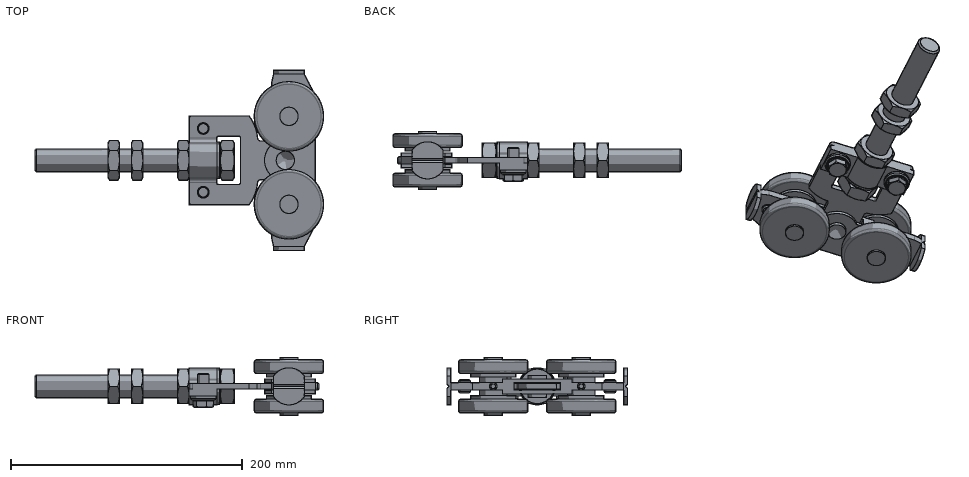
import cadquery as cq
import math


ROD_DIAMETER = 20.0
ROD_CHAMFER = 1.5
NUT_WIDTH = 30.0
NUT_THICKNESS = 10.0
NUT_FACE_DIAMETER = 29.7
HEAD_THICKNESS = 12.0
HEAD_COLLAR_DIAMETER = 27.7
HEAD_COLLAR_THICKNESS = 0.8
HEX_CHAMFER_ANGLE = 30.0
FIRST_NUT_X = 63.1
SECOND_NUT_X = 83.3

BRACKET_X = 133.2
BRACKET_HALF_WIDTH = 38.5
BRACKET_THICKNESS = 5.0
BRACKET_CORNER_RADIUS = 3.0
SHOULDER_X = 185.0
SHOULDER_MIDDLE = (190.0, 29.5)
NECK_X = 192.4
NECK_HALF_WIDTH = 16.8
NECK_FILLET = 2.5
BLOCK_LENGTH = 24.0
BLOCK_BOTTOM_Z = -8.5
SLEEVE_DIAMETER = 32.0
WASHER_DIAMETER = 31.7
WASHER_THICKNESS = 2.2
SLEEVE_FILLET = 4.5
WINDOW_LENGTH = 20.3
WINDOW_HALF_WIDTH = 20.7
WINDOW_FILLET = 1.2

BOLT_X = 145.4
BOLT_Y = 27.5
BOLT_DIAMETER = 10.0
BOLT_TOP_Z = 11.0
BOLT_CHAMFER = 0.8
BOLT_FLANGE_DIAMETER = 22.0
BOLT_FLANGE_THICKNESS = 3.3
BOLT_FLANGE_CHAMFER = 1.2
BOLT_COLLAR_DIAMETER = 18.0
BOLT_COLLAR_THICKNESS = 0.8
BOLT_HEX_WIDTH = 15.2
BOLT_HEX_FACE_DIAMETER = 14.8
BOLT_HEX_THICKNESS = 5.6
BOLT_TURN = {1: 30.0, -1: 50.0}

WHEEL_X = 219.35
WHEEL_Y = 38.0
WHEEL_DIAMETER = 60.0
WHEEL_INNER_Z = 11.0
WHEEL_OUTER_Z = 23.0
WHEEL_FILLET = 2.3
AXLE_DIAMETER = 15.8
AXLE_END_Z = 25.0
SPACER_DIAMETER = 39.0
SPACER_THICKNESS = 3.0
HUB_DIAMETER = 24.0

PIVOT_X = 216.3
PIVOT_DIAMETER = 15.8
PIVOT_END_Z = 9.5
PIVOT_CONE_ANGLE = 118.0
CARRIAGE_FRONT_X = 204.5
CARRIAGE_BACK_X = 242.2
PLATE_ROUND_RADIUS = 18.0
PLATE_HALF_WIDTH = 30.0
PLATE_INNER_Z = 3.2
PLATE_OUTER_Z = 6.4
ARM_INNER_Y = 20.0
ARM_FRONT_TAPER_Y = 67.5
ARM_BACK_TAPER_Y = 56.0
ARM_PIN_Y = 62.8
ARM_PIN_DIAMETER = 10.4
ARM_PIN_END_Z = 5.8
ARM_PIN_CHAMFER = 1.2
STOP_DIAMETER = 6.4
STOP_LENGTH = 3.2
STOP_CHAMFER = 1.2

BUFFER_OUTER_Y = 78.0
BUFFER_THICKNESS = 3.5
BUFFER_DIAMETER = 32.0
BUFFER_WIDTH = 26.6
GROOVE_HALF_WIDTH = 1.8
GROOVE_DEPTH = 1.8

SIDES = (1, -1)


def cylinder_x(diameter, x_start, length):
    return cq.Workplane("YZ", origin=(x_start, 0, 0)).circle(diameter / 2).extrude(length)


def cylinder_z(diameter, x, y, z_bottom, z_top):
    return cq.Workplane("XY", origin=(x, y, z_bottom)).circle(diameter / 2).extrude(z_top - z_bottom)


def chamfered_hex(width, face_diameter, thickness, both_ends):
    """Hexagon along +Z from Z = 0, its corners coned off at the top or at both ends."""
    corner_radius = width / math.sqrt(3)
    face_radius = face_diameter / 2
    drop = (corner_radius - face_radius) * math.tan(math.radians(HEX_CHAMFER_ANGLE))
    profile = cq.Workplane("XZ").moveTo(0, 0)
    if both_ends:
        profile = profile.lineTo(face_radius, 0).lineTo(corner_radius, drop)
    else:
        profile = profile.lineTo(corner_radius, 0)
    profile = profile.lineTo(corner_radius, thickness - drop).lineTo(face_radius, thickness)
    envelope = profile.lineTo(0, thickness).close().revolve(360, (0, 0), (0, 1))
    return cq.Workplane("XY").polygon(6, 2 * corner_radius).extrude(thickness).intersect(envelope)


def make_nut(x_start, thickness):
    nut = chamfered_hex(NUT_WIDTH, NUT_FACE_DIAMETER, thickness, both_ends=True)
    nut = nut.rotate((0, 0, 0), (0, 0, 1), 90)
    return nut.rotate((0, 0, 0), (0, 1, 0), 90).translate((x_start, 0, 0))


def make_rod():
    washer_x = BRACKET_X + BLOCK_LENGTH
    collar_x = washer_x + WASHER_THICKNESS
    head_x = collar_x + HEAD_COLLAR_THICKNESS
    rod = cylinder_x(ROD_DIAMETER, 0, head_x).faces("<X").chamfer(ROD_CHAMFER)
    for nut_x in (FIRST_NUT_X, SECOND_NUT_X, BRACKET_X - NUT_THICKNESS):
        rod = rod.union(make_nut(nut_x, NUT_THICKNESS))
    rod = rod.union(cylinder_x(WASHER_DIAMETER, washer_x, WASHER_THICKNESS))
    rod = rod.union(cylinder_x(HEAD_COLLAR_DIAMETER, collar_x, HEAD_COLLAR_THICKNESS))
    return rod.union(make_nut(head_x, HEAD_THICKNESS))


def make_bracket_plate():
    half_thickness = BRACKET_THICKNESS / 2
    neck_start_y = NECK_HALF_WIDTH + NECK_FILLET
    neck_start_x = NECK_X + NECK_FILLET
    turn = NECK_FILLET * (1 - math.sqrt(0.5))
    upper_half = (
        cq.Workplane("XY", origin=(0, 0, -half_thickness))
        .moveTo(BRACKET_X, 0)
        .lineTo(BRACKET_X, BRACKET_HALF_WIDTH)
        .lineTo(SHOULDER_X, BRACKET_HALF_WIDTH)
        .threePointArc(SHOULDER_MIDDLE, (NECK_X, neck_start_y))
        .threePointArc((NECK_X + turn, NECK_HALF_WIDTH + turn), (neck_start_x, NECK_HALF_WIDTH))
        .lineTo(PIVOT_X, NECK_HALF_WIDTH)
        .lineTo(PIVOT_X, 0)
        .close()
        .extrude(BRACKET_THICKNESS)
    )
    plate = upper_half.union(upper_half.mirror("XZ"))
    plate = plate.edges("|Z and <X").fillet(BRACKET_CORNER_RADIUS)
    return plate.union(cylinder_z(2 * NECK_HALF_WIDTH, PIVOT_X, 0, -half_thickness, half_thickness))


def make_sleeve_fillets():
    """Concave blends between the sleeve and the top of the bracket plate."""
    plate_top = BRACKET_THICKNESS / 2
    sleeve_radius = SLEEVE_DIAMETER / 2
    centre_z = plate_top + SLEEVE_FILLET
    centre_distance = sleeve_radius + SLEEVE_FILLET
    centre_y = math.sqrt(centre_distance**2 - centre_z**2)
    touch_y = centre_y * sleeve_radius / centre_distance
    touch_z = centre_z * sleeve_radius / centre_distance
    wedge = (
        cq.Workplane("YZ", origin=(BRACKET_X, 0, 0))
        .moveTo(-centre_y, plate_top)
        .lineTo(centre_y, plate_top)
        .lineTo(touch_y, touch_z)
        .lineTo(-touch_y, touch_z)
        .close()
        .extrude(BLOCK_LENGTH)
    )
    for side in SIDES:
        hollow = cylinder_x(2 * SLEEVE_FILLET, BRACKET_X, BLOCK_LENGTH)
        wedge = wedge.cut(hollow.translate((0, side * centre_y, centre_z)))
    return wedge


def make_bracket():
    block_top = -BRACKET_THICKNESS / 2
    block_end_x = BRACKET_X + BLOCK_LENGTH
    block = cq.Workplane("XY").box(
        BLOCK_LENGTH, 2 * BRACKET_HALF_WIDTH, block_top - BLOCK_BOTTOM_Z, centered=(False, True, False)
    ).translate((BRACKET_X, 0, BLOCK_BOTTOM_Z))
    window = cq.Workplane("XY").box(
        WINDOW_LENGTH, 2 * WINDOW_HALF_WIDTH, BRACKET_THICKNESS, centered=(False, True, True)
    ).edges("|Z").fillet(WINDOW_FILLET).translate((block_end_x, 0, 0))
    bracket = make_bracket_plate().cut(window).union(block)
    bracket = bracket.union(make_sleeve_fillets())
    return bracket.union(cylinder_x(SLEEVE_DIAMETER, BRACKET_X, BLOCK_LENGTH))


def make_bolt(side):
    flange_bottom = BLOCK_BOTTOM_Z - BOLT_FLANGE_THICKNESS
    hex_top = flange_bottom - BOLT_COLLAR_THICKNESS
    shank = cylinder_z(BOLT_DIAMETER, 0, 0, BLOCK_BOTTOM_Z, BOLT_TOP_Z).faces(">Z").chamfer(BOLT_CHAMFER)
    flange = cylinder_z(BOLT_FLANGE_DIAMETER, 0, 0, flange_bottom, BLOCK_BOTTOM_Z)
    flange = flange.faces("<Z").chamfer(BOLT_FLANGE_CHAMFER)
    collar = cylinder_z(BOLT_COLLAR_DIAMETER, 0, 0, hex_top, flange_bottom)
    head = chamfered_hex(BOLT_HEX_WIDTH, BOLT_HEX_FACE_DIAMETER, BOLT_HEX_THICKNESS, both_ends=False)
    head = head.mirror("XY").rotate((0, 0, 0), (0, 0, 1), BOLT_TURN[side])
    bolt = shank.union(flange).union(collar).union(head.translate((0, 0, hex_top)))
    return bolt.translate((BOLT_X, side * BOLT_Y, 0))


def make_wheel_pair(side):
    y = side * WHEEL_Y
    spacer_z = WHEEL_INNER_Z - SPACER_THICKNESS
    pair = cylinder_z(AXLE_DIAMETER, WHEEL_X, y, -AXLE_END_Z, AXLE_END_Z)
    pair = pair.union(cylinder_z(HUB_DIAMETER, WHEEL_X, y, -spacer_z, spacer_z))
    wheel = cylinder_z(WHEEL_DIAMETER, WHEEL_X, y, WHEEL_INNER_Z, WHEEL_OUTER_Z).edges().fillet(WHEEL_FILLET)
    wheel = wheel.union(cylinder_z(SPACER_DIAMETER, WHEEL_X, y, spacer_z, WHEEL_INNER_Z))
    return pair.union(wheel).union(wheel.mirror("XY"))


def make_carriage_plates():
    """Two plates above and below the bracket neck, and the pivot joining them."""
    thickness = PLATE_OUTER_Z - PLATE_INNER_Z
    plate = cq.Workplane("XY").box(
        CARRIAGE_BACK_X - CARRIAGE_FRONT_X, 2 * PLATE_HALF_WIDTH, thickness, centered=(False, True, False)
    ).translate((CARRIAGE_FRONT_X, 0, PLATE_INNER_Z))
    plate = plate.union(cylinder_z(2 * PLATE_ROUND_RADIUS, PIVOT_X, 0, PLATE_INNER_Z, PLATE_OUTER_Z))
    pivot_radius = PIVOT_DIAMETER / 2
    cone_depth = pivot_radius / math.tan(math.radians(PIVOT_CONE_ANGLE / 2))
    cone = cq.Workplane(cq.Solid.makeCone(0, pivot_radius, cone_depth))
    upper = plate.union(cylinder_z(PIVOT_DIAMETER, PIVOT_X, 0, 0, PIVOT_END_Z))
    upper = upper.cut(cone.translate((PIVOT_X, 0, PIVOT_END_Z - cone_depth)))
    return upper.union(upper.mirror("XY"))


def make_arm():
    """Arm on the +Y side with its through pin, end stop and grooved buffer disc."""
    buffer_inner_y = BUFFER_OUTER_Y - BUFFER_THICKNESS
    half_width = BUFFER_WIDTH / 2
    arm = (
        cq.Workplane("XY", origin=(0, 0, -PLATE_INNER_Z))
        .polyline([
            (CARRIAGE_FRONT_X, ARM_INNER_Y),
            (CARRIAGE_FRONT_X, ARM_FRONT_TAPER_Y),
            (WHEEL_X - half_width, buffer_inner_y),
            (WHEEL_X + half_width, buffer_inner_y),
            (CARRIAGE_BACK_X, ARM_BACK_TAPER_Y),
            (CARRIAGE_BACK_X, ARM_INNER_Y),
        ])
        .close()
        .extrude(2 * PLATE_INNER_Z)
    )
    pin = cylinder_z(ARM_PIN_DIAMETER, WHEEL_X, ARM_PIN_Y, -ARM_PIN_END_Z, ARM_PIN_END_Z)
    arm = arm.union(pin.edges().chamfer(ARM_PIN_CHAMFER))
    stop = cylinder_x(STOP_DIAMETER, CARRIAGE_BACK_X, STOP_LENGTH).faces(">X").chamfer(STOP_CHAMFER)
    return arm.union(stop.translate((0, WHEEL_Y, 0))).union(make_buffer())


def make_buffer():
    disc = (
        cq.Workplane("XZ", origin=(WHEEL_X, BUFFER_OUTER_Y, 0))
        .circle(BUFFER_DIAMETER / 2)
        .extrude(BUFFER_THICKNESS)
    )
    trim = cq.Workplane("XY").box(BUFFER_WIDTH, 2 * BUFFER_OUTER_Y, BUFFER_DIAMETER)
    disc = disc.intersect(trim.translate((WHEEL_X, BUFFER_OUTER_Y, 0)))
    groove = (
        cq.Workplane("YZ", origin=(WHEEL_X, 0, 0))
        .polyline([
            (BUFFER_OUTER_Y, GROOVE_HALF_WIDTH),
            (BUFFER_OUTER_Y - GROOVE_DEPTH, 0),
            (BUFFER_OUTER_Y, -GROOVE_HALF_WIDTH),
        ])
        .close()
        .extrude(BUFFER_WIDTH, both=True)
    )
    return disc.cut(groove)


arm = make_arm()
result = make_rod().union(make_bracket()).union(make_carriage_plates())
result = result.union(arm).union(arm.mirror("XZ"))
for side in SIDES:
    result = result.union(make_bolt(side)).union(make_wheel_pair(side))